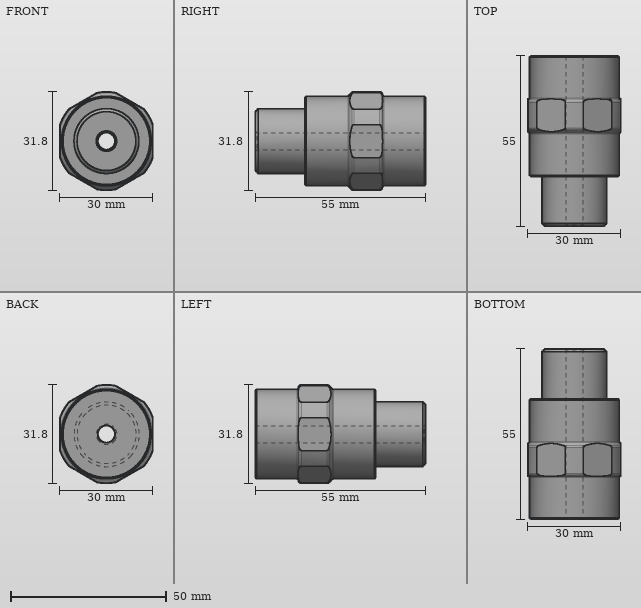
import cadquery as cq
import math

length = 55.0
front_y = -length / 2
rear_y = length / 2
shoulder_y = -11.45
collar_cone_start_y = 2.65
collar_rear_y = 13.6

spigot_radius = 20.95 / 2
body_radius = 29.0 / 2
collar_radius = 31.8 / 2
bore_diameter = 5.5
bore_mouth_diameter = 6.6

across_flats = 30.0
flat_count = 6

spigot_chamfer = 1.0
body_chamfer = 0.5
crest_radius = 1.0
front_root_radius = 0.45
rear_root_radius = collar_radius - body_radius - crest_radius

half_sine = math.sin(math.radians(22.5))
half_cosine = math.cos(math.radians(22.5))
sine_45 = math.sin(math.radians(45))


def make_turned_blank():
    """Revolve the spigot, body and rounded collar about Y."""
    root_start_y = collar_cone_start_y - front_root_radius * sine_45
    root_middle = (
        root_start_y + front_root_radius * half_sine,
        body_radius + front_root_radius * (1 - half_cosine),
    )
    cone_start_radius = body_radius + front_root_radius * (1 - sine_45)

    cone_end_radius = collar_radius - crest_radius * (1 - sine_45)
    cone_end_y = collar_cone_start_y + cone_end_radius - cone_start_radius
    crest_y = cone_end_y + crest_radius * sine_45
    crest_middle = (
        crest_y - crest_radius * half_sine,
        collar_radius - crest_radius * (1 - half_cosine),
    )

    rear_crest_y = collar_rear_y - crest_radius
    rear_root_end_y = collar_rear_y + rear_root_radius
    rear_face_radius = collar_radius - crest_radius
    rear_crest_middle = (
        rear_crest_y + crest_radius * sine_45,
        rear_face_radius + crest_radius * sine_45,
    )
    rear_root_middle = (
        rear_root_end_y - rear_root_radius * sine_45,
        rear_face_radius - rear_root_radius * sine_45,
    )

    sketch_plane = cq.Plane(origin=(0, 0, 0), xDir=(0, 1, 0), normal=(1, 0, 0))
    return (
        cq.Workplane(sketch_plane)
        .moveTo(front_y, 0)
        .lineTo(front_y, spigot_radius - spigot_chamfer)
        .lineTo(front_y + spigot_chamfer, spigot_radius)
        .lineTo(shoulder_y, spigot_radius)
        .lineTo(shoulder_y, body_radius - body_chamfer)
        .lineTo(shoulder_y + body_chamfer, body_radius)
        .lineTo(root_start_y, body_radius)
        .threePointArc(root_middle, (collar_cone_start_y, cone_start_radius))
        .lineTo(cone_end_y, cone_end_radius)
        .threePointArc(crest_middle, (crest_y, collar_radius))
        .lineTo(rear_crest_y, collar_radius)
        .threePointArc(rear_crest_middle, (collar_rear_y, rear_face_radius))
        .threePointArc(rear_root_middle, (rear_root_end_y, body_radius))
        .lineTo(rear_y - body_chamfer, body_radius)
        .lineTo(rear_y, body_radius - body_chamfer)
        .lineTo(rear_y, 0)
        .close()
        .revolve(360, (0, 0), (1, 0))
    )


def make_hexagon_bar():
    """Hexagonal bar along Y with corners on Z and flats facing X."""
    corner_diameter = across_flats / math.cos(math.pi / flat_count)
    return (
        cq.Workplane("XZ", origin=(0, rear_y, 0))
        .transformed(rotate=(0, 0, 90))
        .polygon(flat_count, corner_diameter)
        .extrude(length)
    )


def make_bore():
    """Through bore with a 45 degree countersink at the front."""
    countersink_depth = (bore_mouth_diameter - bore_diameter) / 2
    bore = cq.Workplane("XZ", origin=(0, rear_y, 0)).circle(bore_diameter / 2).extrude(length)
    countersink = cq.Workplane(
        cq.Solid.makeCone(
            bore_mouth_diameter / 2,
            bore_diameter / 2,
            countersink_depth,
            pnt=cq.Vector(0, front_y, 0),
            dir=cq.Vector(0, 1, 0),
        )
    )
    return bore.union(countersink)


result = make_turned_blank().intersect(make_hexagon_bar()).cut(make_bore())